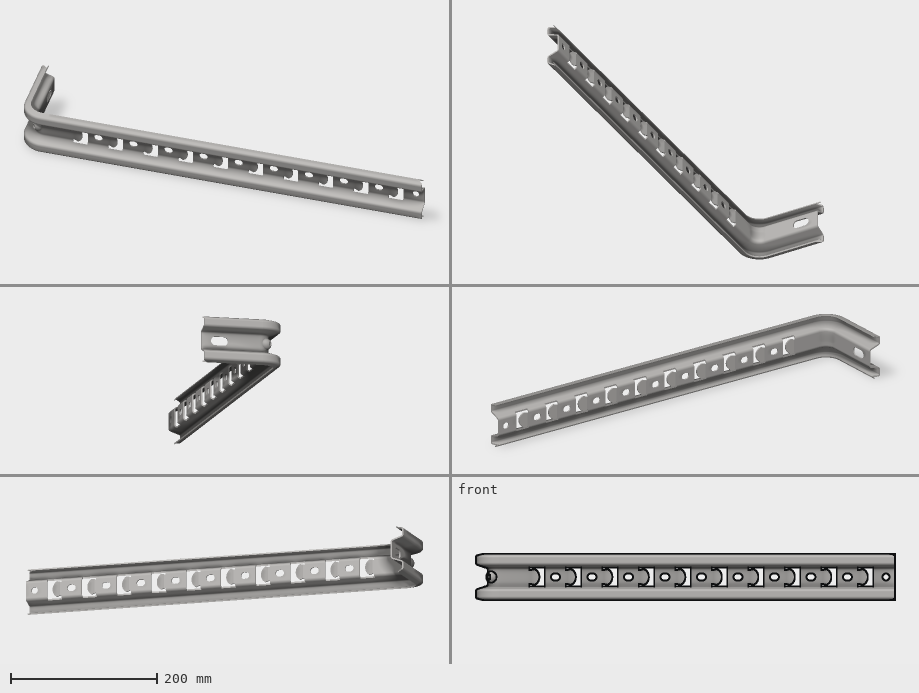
import cadquery as cq
import math

LONG_LENGTH = 574.0
SHORT_LENGTH = 115.0
RAIL_WIDTH = 64.0
RAIL_DEPTH = 18.5

SHEET = 2.0
LIP_INNER_RADIUS = 2.0
WEB_INNER_RADIUS = 2.5
WEB_HALF_WIDTH = 12.5
LEG_FRONT_HALF_WIDTH = 17.0
LIP_BEND_HALF_WIDTH = 29.0
LIP_DEPTH = 10.0
LIP_END_CHAMFER = 7.0

BEND_RADIUS = 31.5

DOME_RADIUS = 8.3
DOME_CENTRE = 12.5
DOME_RECESS_DIAMETER = 7.0
DOME_RECESS_DEPTH = 3.0

PITCH = 50.0
STATION_COUNT = 10
NOTCH_START = 73.5
NOTCH_LENGTH = 20.5
NOTCH_FLOOR = 14.0
TONGUE_ROOT_WIDTH = 18.5
TONGUE_WIDTH = 22.0
TONGUE_FLAT = 2.5
TONGUE_SHOULDER = 7.0
TONGUE_LENGTH = 14.0
TONGUE_DROP = 3.5
FIRST_HOLE = 109.0
HOLE_LENGTH = 12.0
HOLE_WIDTH = 9.0
END_HOLE = 561.5

ARM_HOLE_CENTRE = 89.0
ARM_HOLE_LENGTH = 24.0
ARM_HOLE_WIDTH = 12.0


def sheet_offset(path, distance):
    """Shift an open path of (depth, z) points sideways, mitring its corners."""
    normals = []
    for (y0, z0), (y1, z1) in zip(path, path[1:]):
        length = math.hypot(y1 - y0, z1 - z0)
        normals.append(((z0 - z1) / length, (y1 - y0) / length))
    before = normals[:1] + normals
    after = normals + normals[-1:]
    shifted = []
    for (y, z), (ay, az), (by, bz) in zip(path, before, after):
        scale = distance / (1 + ay * by + az * bz)
        shifted.append((y + scale * (ay + by), z + scale * (az + bz)))
    return shifted


def mirrored(half):
    return half + [(y, -z) for y, z in reversed(half)]


def fillet_corners(face, corners, radius):
    tolerance = SHEET / 10
    chosen = [
        vertex
        for vertex in face.Vertices()
        if any(math.hypot(vertex.Y - y, vertex.Z - z) < tolerance for y, z in corners)
    ]
    return face.fillet2D(radius, chosen)


def section_face():
    """Hat section of the rail in the YZ plane, with the open side of the lips at the back."""
    front = mirrored([
        (LIP_DEPTH, RAIL_WIDTH / 2),
        (0, LIP_BEND_HALF_WIDTH),
        (0, LEG_FRONT_HALF_WIDTH),
        (RAIL_DEPTH - SHEET, WEB_HALF_WIDTH - SHEET / 2),
    ])
    back = sheet_offset(front, SHEET)
    outline = [cq.Vector(0, y, z) for y, z in front + back[::-1]]
    face = cq.Face.makeFromWires(cq.Wire.makePolygon(outline, close=True))
    lip_and_leg = (1, 2, -3, -2)
    web = (3, -4)
    face = fillet_corners(face, [front[i] for i in lip_and_leg], LIP_INNER_RADIUS + SHEET)
    face = fillet_corners(face, [back[i] for i in lip_and_leg], LIP_INNER_RADIUS)
    face = fillet_corners(face, [front[i] for i in web], WEB_INNER_RADIUS)
    return fillet_corners(face, [back[i] for i in web], WEB_INNER_RADIUS + SHEET)


def bent_rail():
    start = section_face().translate(cq.Vector(BEND_RADIUS, 0, 0))
    axis_bottom = cq.Vector(BEND_RADIUS, BEND_RADIUS, 0)
    axis_top = cq.Vector(BEND_RADIUS, BEND_RADIUS, 6)
    long_arm = cq.Solid.extrudeLinear(start, cq.Vector(LONG_LENGTH - BEND_RADIUS, 0, 0))
    bend = cq.Solid.revolve(start, -90, axis_bottom, axis_top)
    end = start.rotate(axis_bottom, axis_top, -90)
    short_arm = cq.Solid.extrudeLinear(end, cq.Vector(0, SHORT_LENGTH - BEND_RADIUS, 0))
    return cq.Workplane(long_arm).union(cq.Workplane(bend)).union(cq.Workplane(short_arm))


def corner_cut(tip, along, across):
    """Prism that chamfers the lip corners at one end of the rail."""
    tip_x, tip_y = tip
    points = [
        tip,
        (tip_x - LIP_END_CHAMFER * along[0], tip_y - LIP_END_CHAMFER * along[1]),
        (tip_x - LIP_END_CHAMFER * across[0], tip_y - LIP_END_CHAMFER * across[1]),
    ]
    zone_bottom = (LEG_FRONT_HALF_WIDTH + LIP_BEND_HALF_WIDTH) / 2
    zone_height = RAIL_WIDTH / 2 - zone_bottom
    upper = cq.Workplane("XY", origin=(0, 0, zone_bottom)).polyline(points).close().extrude(zone_height)
    return upper.union(upper.mirror("XY"))


def lip_end_chamfers():
    long_end = corner_cut((LONG_LENGTH, LIP_DEPTH), (1, 0), (0, 1))
    short_end = corner_cut((LIP_DEPTH, SHORT_LENGTH), (0, 1), (1, 0))
    return long_end.union(short_end)


def dome_axis_plane():
    """Plane through the bend axis whose normal points outwards through mid-bend."""
    return cq.Plane(origin=(BEND_RADIUS, BEND_RADIUS, 0), xDir=(1, -1, 0), normal=(-1, -1, 0))


def add_dome(body):
    """Ball-shaped dome on the outside of the bend with a round recess in its top."""
    inner_bend_radius = BEND_RADIUS - RAIL_DEPTH
    inside_of_bend = (
        cq.Workplane("XY", origin=(BEND_RADIUS, BEND_RADIUS, 0))
        .circle(inner_bend_radius)
        .extrude(DOME_RADIUS, both=True)
    )
    ball = cq.Workplane(dome_axis_plane()).workplane(offset=DOME_CENTRE).sphere(DOME_RADIUS)
    recess_floor = DOME_CENTRE + DOME_RADIUS - DOME_RECESS_DEPTH
    recess = (
        cq.Workplane(dome_axis_plane())
        .workplane(offset=recess_floor)
        .circle(DOME_RECESS_DIAMETER / 2)
        .extrude(DOME_RECESS_DEPTH)
    )
    return body.union(ball.cut(inside_of_bend)).cut(recess)


def notch(start):
    return (
        cq.Workplane("XY")
        .box(NOTCH_LENGTH, RAIL_DEPTH - NOTCH_FLOOR, RAIL_WIDTH, centered=(False, False, True))
        .translate((start, NOTCH_FLOOR, 0))
    )


def tongue(start):
    """Rounded tongue that hangs from the web and slopes forward into the notch."""
    back_edge = [(0, RAIL_DEPTH), (TONGUE_FLAT, RAIL_DEPTH), (TONGUE_LENGTH, RAIL_DEPTH - TONGUE_DROP)]
    front_edge = [(x, y - SHEET) for x, y in reversed(back_edge)]
    slab = cq.Workplane("XY").polyline(back_edge + front_edge).close().extrude(TONGUE_WIDTH, both=True)
    outline = (
        cq.Workplane("XZ")
        .moveTo(0, -TONGUE_ROOT_WIDTH / 2)
        .lineTo(TONGUE_SHOULDER, -TONGUE_WIDTH / 2)
        .threePointArc((TONGUE_LENGTH, 0), (TONGUE_SHOULDER, TONGUE_WIDTH / 2))
        .lineTo(0, TONGUE_ROOT_WIDTH / 2)
        .close()
        .extrude(-RAIL_DEPTH)
    )
    return slab.intersect(outline).translate((start, 0, 0))


def web_holes():
    centres = [(FIRST_HOLE + i * PITCH, 0) for i in range(STATION_COUNT - 1)]
    oblong = cq.Workplane("XZ").pushPoints(centres).slot2D(HOLE_LENGTH, HOLE_WIDTH).extrude(-RAIL_DEPTH)
    end_hole = cq.Workplane("XZ").center(END_HOLE, 0).circle(HOLE_WIDTH / 2).extrude(-RAIL_DEPTH)
    arm_hole = (
        cq.Workplane("YZ")
        .center(ARM_HOLE_CENTRE, 0)
        .slot2D(ARM_HOLE_LENGTH, ARM_HOLE_WIDTH)
        .extrude(RAIL_DEPTH)
    )
    return oblong.union(end_hole).union(arm_hole)


result = bent_rail().cut(lip_end_chamfers()).cut(web_holes())
result = add_dome(result)
for station in range(STATION_COUNT):
    station_start = NOTCH_START + station * PITCH
    result = result.cut(notch(station_start)).union(tongue(station_start))